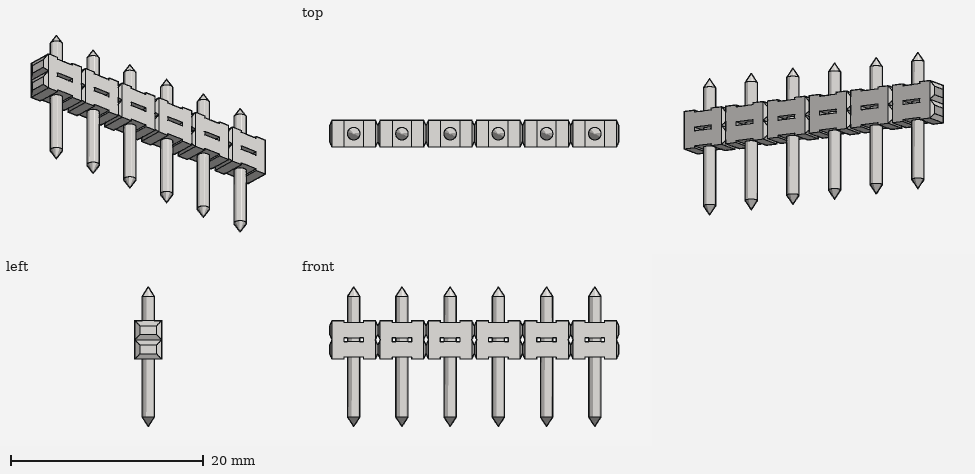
import cadquery as cq

pin_count = 6
pitch = 5.0

block_depth = 2.8
block_height = 4.0
core_width = 4.5
stud_length = (pitch - core_width) / 2
stud_inset = 0.55
studs_per_side = 2

opening_width = 2.0
groove_depth = 0.2
slot_height = 0.4

pin_diameter = 1.3
pin_above_block = 3.5
pin_below_block = 7.0
point_length = 1.0


def make_stud(side, center_z):
    """Tapered rectangular stud on the left (side = -1) or right (side = 1) of the block core."""
    base_height = block_height / studs_per_side
    tip_depth = block_depth - 2 * stud_inset
    tip_height = base_height - 2 * stud_inset
    base_plane = cq.Plane(
        origin=(side * core_width / 2, 0, center_z),
        xDir=(0, 1, 0),
        normal=(side, 0, 0),
    )
    return (
        cq.Workplane(base_plane)
        .rect(block_depth, base_height)
        .workplane(offset=stud_length)
        .rect(tip_depth, tip_height)
        .loft()
    )


def make_block():
    """Insulator block centred on the origin, with grooves, a through slot and side studs."""
    block = cq.Workplane("XY").box(core_width, block_depth, block_height)

    for end in (-1, 1):
        cutter = cq.Workplane("XY").box(opening_width, block_depth, 2 * groove_depth)
        block = block.cut(cutter.translate((0, 0, end * block_height / 2)))

    block = block.cut(cq.Workplane("XY").box(opening_width, block_depth, slot_height))

    stud_pitch = block_height / studs_per_side
    for side in (-1, 1):
        for row in range(studs_per_side):
            center_z = (row + 0.5) * stud_pitch - block_height / 2
            block = block.union(make_stud(side, center_z))
    return block


def make_pin():
    """Round pin along Z with a cone at each end."""
    radius = pin_diameter / 2
    top = block_height / 2 + pin_above_block
    bottom = -block_height / 2 - pin_below_block
    half_profile = [
        (0, bottom),
        (radius, bottom + point_length),
        (radius, top - point_length),
        (0, top),
    ]
    return (
        cq.Workplane("XZ")
        .polyline(half_profile)
        .close()
        .revolve(360, (0, 0), (0, 1))
    )


def make_header():
    """Row of identical positions along X, joined at the stud faces."""
    position = make_block().union(make_pin())
    first_x = -(pin_count - 1) * pitch / 2
    header = position.translate((first_x, 0, 0))
    for index in range(1, pin_count):
        header = header.union(position.translate((first_x + index * pitch, 0, 0)))
    return header


result = make_header()